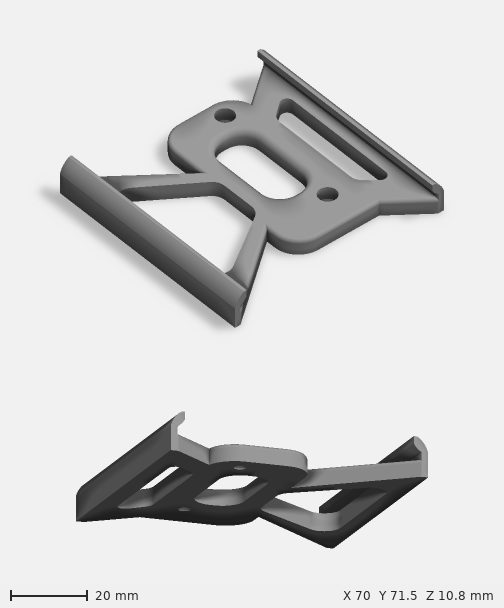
import cadquery as cq

length_x = 70.0
length_y = 71.5
height = 10.8
half_x = length_x / 2
half_y = length_y / 2

plate_thickness = 4.85
edge_round = 1.1
corner_radius = 8.0

body_left = -31.9
body_right = 25.7
left_bottom = -5.85
left_top = 21.8
right_bottom = -7.3

upper_flare_y = 33.6
lower_flare_y = 33.9
flare_slope = 0.77
flare_overrun = 3.6
upper_inner_y = 14.3
lower_inner_y = 0.0

rail_thickness = 1.85
hook_reach = 4.0
hook_base_z = 6.65
hook_tip_flat = 0.9
hook_tip_z = 8.8
hook_outer_mid = (1.2, 9.15)
hook_inner_mid = (3.1, 7.6)

slot_center = (-5.65, 7.9)
slot_length = 28.6
slot_width = 13.3
slot_corner = 5.9
slot_round = 2.0
screw_spacing = 41.0
screw_y = 13.15
screw_diameter = 3.2
counterbore_diameter = 5.7
counterbore_depth = 4.0

upper_window = [(-23.4, 30.45), (22.25, 30.45), (15.15, 22.3), (-16.9, 22.3)]
upper_window_outer_radius = 2.0
upper_window_inner_radius = 4.0
lower_window = [(-7.45, -4.9), (7.95, -4.9), (24.95, -30.8), (-25.0, -30.8)]
lower_window_radius = 4.4


def block(x_min, x_max, y_min, y_max):
    """Rectangular block as thick as the plate."""
    return (
        cq.Workplane("XY")
        .box(x_max - x_min, y_max - y_min, plate_thickness, centered=False)
        .translate((x_min, y_min, 0))
    )


def flare(inner_y, full_width_y, direction):
    """Trapezoid widening from inner_y to past the rail on the +Y or -Y side."""
    outer_y = half_y + flare_overrun
    inner_x = half_x - flare_slope * (full_width_y - inner_y)
    outer_x = half_x + flare_slope * (outer_y - full_width_y)
    points = [
        (-inner_x, direction * inner_y),
        (inner_x, direction * inner_y),
        (outer_x, direction * outer_y),
        (-outer_x, direction * outer_y),
    ]
    return cq.Workplane("XY").polyline(points).close().extrude(plate_thickness)


def make_plate():
    right_top = upper_flare_y - (half_x - body_right) / flare_slope
    left_half = block(body_left, 0, left_bottom, left_top)
    left_half = left_half.edges("|Z and <X").fillet(corner_radius)
    right_half = block(0, body_right, right_bottom, right_top)
    right_half = right_half.edges("|Z and >X and <Y").fillet(corner_radius)
    plate = left_half.union(right_half)
    plate = plate.union(flare(upper_inner_y, upper_flare_y, 1))
    plate = plate.union(flare(lower_inner_y, lower_flare_y, -1))
    plate = plate.faces(">Z").edges().fillet(edge_round)
    trim = cq.Workplane("XY").box(length_x, length_y, height, centered=(True, True, False))
    return plate.intersect(trim)


def make_rail(direction):
    """Upright rail with an inward hook, on the +Y or -Y side."""
    def at(inset, z):
        return (direction * (half_y - inset), z)

    return (
        cq.Workplane("YZ", origin=(-half_x, 0, 0))
        .moveTo(*at(0, 0))
        .lineTo(*at(0, hook_base_z))
        .threePointArc(at(*hook_outer_mid), at(hook_reach - hook_tip_flat, height))
        .lineTo(*at(hook_reach, height))
        .lineTo(*at(hook_reach, hook_tip_z))
        .threePointArc(at(*hook_inner_mid), at(rail_thickness, hook_base_z))
        .lineTo(*at(rail_thickness, 0))
        .close()
        .extrude(length_x)
    )


def window(corners, upper_radius, lower_radius):
    """Cutter with one corner radius on its +Y side and another on its -Y side."""
    cutter = cq.Workplane("XY").polyline(corners).close().extrude(plate_thickness)
    cutter = cutter.faces(">Y").edges("|Z").fillet(upper_radius)
    return cutter.faces("<Y").edges("|Z").fillet(lower_radius)


def cut_slot(part):
    cutter = (
        cq.Workplane("XY")
        .center(*slot_center)
        .rect(slot_length, slot_width)
        .extrude(plate_thickness)
        .edges("|Z")
        .fillet(slot_corner)
    )
    return part.cut(cutter)


def round_slot(part):
    """Round over the top rim of the finger slot."""
    x, y = slot_center
    margin = 0.1
    reach_x = slot_length / 2 + margin
    reach_y = slot_width / 2 + margin
    low_corner = (x - reach_x, y - reach_y, plate_thickness - margin)
    high_corner = (x + reach_x, y + reach_y, plate_thickness + margin)
    rim = cq.selectors.BoxSelector(low_corner, high_corner, boundingbox=True)
    return part.edges(rim).fillet(slot_round)


def cut_screw_holes(part):
    half_spacing = screw_spacing / 2
    centers = [(slot_center[0] + side * half_spacing, screw_y) for side in (-1, 1)]
    return (
        part.copyWorkplane(cq.Workplane("XY", origin=(0, 0, plate_thickness)))
        .pushPoints(centers)
        .cboreHole(screw_diameter, counterbore_diameter, counterbore_depth, plate_thickness)
    )


part = round_slot(cut_slot(make_plate()))
part = cut_screw_holes(part)
part = part.cut(window(upper_window, upper_window_outer_radius, upper_window_inner_radius))
part = part.cut(window(lower_window, lower_window_radius, lower_window_radius))
for direction in (-1, 1):
    part = part.union(make_rail(direction))
result = part